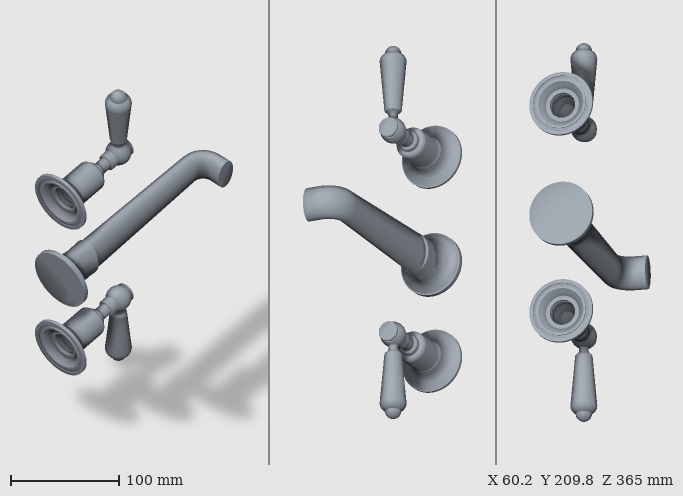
import cadquery as cq
import math

flange_radius = 60.2 / 2
overall_reach = 209.8
tap_spacing = 200.0
upper_tap_z = 105.8
lower_tap_z = upper_tap_z - tap_spacing

spout_flange_thickness = 5.0
neck_end_y = 38.5
neck_half_width = 11.3
neck_half_height = 20.5
outlet_half_width = 10.2
outlet_half_height = 16.0
bend_radius = 17.0
outlet_axis_y = overall_reach - outlet_half_width
bend_start_y = outlet_axis_y - bend_radius
bend_section = (bend_start_y, outlet_half_width, outlet_half_height)
flare_sections = [
    (spout_flange_thickness, 29.0, 29.0),
    (7.5, 25.0, 26.0),
    (11.0, 17.0, 22.5),
    (17.5, 13.0, 20.8),
    (neck_end_y, neck_half_width, neck_half_height),
]

rim_thickness = 3.3
bell_edge_radius = 29.2
bell_waist_radius = 22.5
bell_waist_y = 6.2
bell_curve_radius = 11.0
bead_radius = 16.0
bead_bottom_y = 11.0
bead_groove_radius = 15.5
bead_groove_bottom_y = 12.0
bead_groove_top_y = 14.0
bead_top_y = 15.7
barrel_radius = 15.0
barrel_bottom_y = 19.5
barrel_top_y = 48.5
shoulder_radius = 4.5
collar_radius = 9.5
collar_top_y = 53.0
collar_chamfer = 1.0

seal_groove_inner_radius = 23.7
seal_groove_outer_radius = 26.5
seal_groove_depth = 1.0
recess_mouth_radius = 21.5
recess_floor_radius = 16.0
recess_depth = 6.2
bore_radius = 12.0
bore_groove_radius = 13.0
bore_groove_width = 1.5
bore_groove_starts = [9.5, 14.2]
bore_end_y = 18.2
bore_cone_end_y = 23.7

stem_radius = 6.2
spindle_collar_radius = 8.5
spindle_collar_start_y = 65.0
spindle_collar_chamfer = 1.0

hub_axis_y = 82.8
ball_radius = 12.0
cap_end_y = 94.0
cap_neck_radius = 8.8
cap_radius = 9.5
cap_edge = 0.7
cap_thickness = 2.0
ball_inner_y = 73.5
ball_inner_radius = math.sqrt(ball_radius**2 - (hub_axis_y - ball_inner_y)**2)
ball_outer_y = hub_axis_y + math.sqrt(ball_radius**2 - cap_radius**2)

lever_reach = 82.5
lever_root = 9.0
lever_neck_radius = 4.5
lever_neck_end = 14.5
neck_flare_radius = 5.0
ferrule_radius = 7.3
ferrule_base = 18.2
grip_base_radius = 8.0
grip_base = 19.5
grip_radius = 12.5
grip_end = 67.0
grip_crown_radius = 8.0
tip_radius = 7.5
tip_base = lever_reach - tip_radius


def revolve_about_y(profile):
    """Solid of revolution about the Y axis from a profile of (radius, y) points."""
    return profile.close().revolve(360, (0, 0, 0), (0, 1, 0))


def make_ring(inner_radius, outer_radius, start_y, width):
    """Rectangular-section ring about the Y axis."""
    return revolve_about_y(
        cq.Workplane("XY")
        .moveTo(inner_radius, start_y)
        .lineTo(outer_radius, start_y)
        .lineTo(outer_radius, start_y + width)
        .lineTo(inner_radius, start_y + width)
    )


def ellipse_section(y, half_width, half_height):
    """Ellipse parallel to the wall, with its long axis along Z."""
    plane = cq.Plane(origin=(0, y, 0), xDir=(0, 0, 1), normal=(0, 1, 0))
    return cq.Workplane(plane).ellipse(half_height, half_width)


def loft_sections(sections, ruled):
    """Solid through a row of ellipses, each given as (y, half width, half height)."""
    wires = [ellipse_section(*section).val() for section in sections]
    return cq.Workplane(cq.Solid.makeLoft(wires, ruled))


def make_spout():
    flange = revolve_about_y(
        cq.Workplane("XY")
        .lineTo(flange_radius, 0)
        .lineTo(flange_radius, spout_flange_thickness)
        .lineTo(0, spout_flange_thickness)
    )
    flare = loft_sections(flare_sections, False)
    tube = loft_sections([flare_sections[-1], bend_section], True)
    path = (
        cq.Workplane("XY")
        .moveTo(0, bend_start_y)
        .radiusArc((bend_radius, outlet_axis_y), bend_radius)
        .lineTo(flange_radius, outlet_axis_y)
    )
    outlet = ellipse_section(*bend_section).sweep(path)
    return flange.union(flare).union(tube).union(outlet)


def make_escutcheon():
    body = revolve_about_y(
        cq.Workplane("XY")
        .lineTo(flange_radius, 0)
        .lineTo(flange_radius, rim_thickness)
        .lineTo(bell_edge_radius, rim_thickness)
        .lineTo(bell_waist_radius, bell_waist_y)
        .radiusArc((bead_radius, bead_bottom_y), bell_curve_radius)
        .lineTo(bead_radius, bead_groove_bottom_y)
        .lineTo(bead_groove_radius, bead_groove_bottom_y)
        .lineTo(bead_groove_radius, bead_groove_top_y)
        .lineTo(bead_radius, bead_groove_top_y)
        .lineTo(bead_radius, bead_top_y)
        .lineTo(barrel_radius, barrel_bottom_y)
        .lineTo(barrel_radius, barrel_top_y - shoulder_radius)
        .radiusArc((barrel_radius - shoulder_radius, barrel_top_y), -shoulder_radius)
        .lineTo(collar_radius, barrel_top_y)
        .lineTo(collar_radius, collar_top_y - collar_chamfer)
        .lineTo(collar_radius - collar_chamfer, collar_top_y)
        .lineTo(0, collar_top_y)
    )
    recess = revolve_about_y(
        cq.Workplane("XY")
        .lineTo(recess_mouth_radius, 0)
        .lineTo(recess_floor_radius, recess_depth)
        .lineTo(bore_radius, recess_depth)
        .lineTo(bore_radius, bore_end_y)
        .lineTo(stem_radius, bore_cone_end_y)
        .lineTo(stem_radius, collar_top_y)
        .lineTo(0, collar_top_y)
    )
    body = body.cut(recess)
    body = body.cut(make_ring(seal_groove_inner_radius, seal_groove_outer_radius, 0, seal_groove_depth))
    for start in bore_groove_starts:
        body = body.cut(make_ring(stem_radius, bore_groove_radius, start, bore_groove_width))
    return body


def make_spindle():
    return revolve_about_y(
        cq.Workplane("XY")
        .moveTo(0, bore_cone_end_y)
        .lineTo(stem_radius, bore_cone_end_y)
        .lineTo(stem_radius, spindle_collar_start_y)
        .lineTo(spindle_collar_radius - spindle_collar_chamfer, spindle_collar_start_y)
        .lineTo(spindle_collar_radius, spindle_collar_start_y + spindle_collar_chamfer)
        .lineTo(spindle_collar_radius, ball_inner_y)
        .lineTo(0, ball_inner_y)
    )


def make_hub():
    ball_and_cap = revolve_about_y(
        cq.Workplane("XY")
        .moveTo(0, ball_inner_y)
        .lineTo(ball_inner_radius, ball_inner_y)
        .threePointArc((ball_radius, hub_axis_y), (cap_radius, ball_outer_y))
        .lineTo(cap_neck_radius, ball_outer_y)
        .lineTo(cap_neck_radius, cap_end_y - cap_thickness)
        .lineTo(cap_radius, cap_end_y - cap_thickness)
        .lineTo(cap_radius, cap_end_y - cap_edge)
        .lineTo(cap_radius - cap_edge, cap_end_y)
        .lineTo(0, cap_end_y)
    )
    socket = cq.Workplane("XY", origin=(0, hub_axis_y, lever_root)).circle(lever_neck_radius).extrude(ball_radius)
    return ball_and_cap.cut(socket)


def make_lever():
    profile = (
        cq.Workplane("XZ", origin=(0, hub_axis_y, 0))
        .moveTo(0, lever_root)
        .lineTo(lever_neck_radius, lever_root)
        .lineTo(lever_neck_radius, lever_neck_end)
        .radiusArc((ferrule_radius, ferrule_base), neck_flare_radius)
        .lineTo(grip_base_radius, grip_base)
        .lineTo(grip_radius, grip_end)
        .radiusArc((tip_radius, tip_base), -grip_crown_radius)
        .radiusArc((0, lever_reach), -tip_radius)
        .close()
    )
    return profile.revolve(360, (0, 0, 0), (0, 1, 0))


def place_taps(part):
    """Upper copy, and a lower copy turned half a turn so that its lever points down."""
    upper = part.translate((0, 0, upper_tap_z)).val()
    lower = part.rotate((0, 0, 0), (0, 1, 0), 180).translate((0, 0, lower_tap_z)).val()
    return [upper, lower]


bodies = [make_spout().val()]
for tap_part in (make_escutcheon(), make_spindle(), make_hub(), make_lever()):
    bodies += place_taps(tap_part)
result = cq.Compound.makeCompound(bodies)